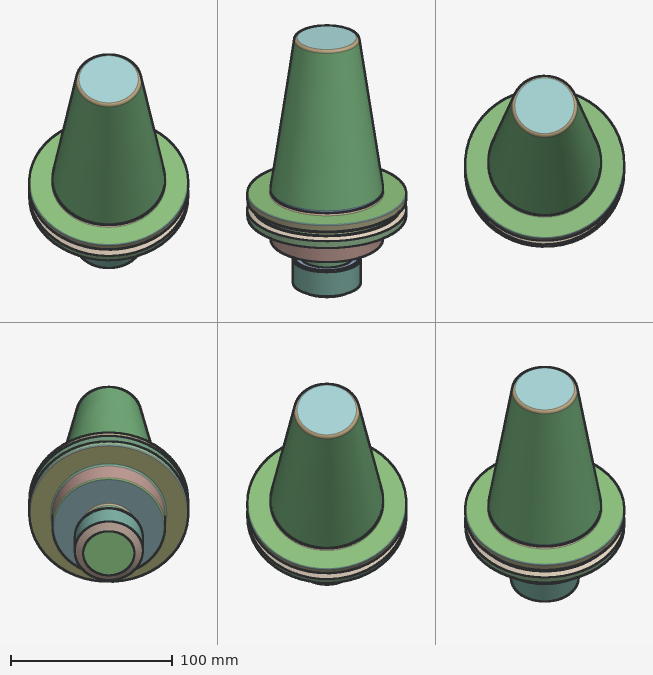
import cadquery as cq

total_height = 168.6
flange_radius = 98.5 / 2
flange_bottom = 47.9
flange_thickness = 15.8
flange_edge_fillet = 0.5
flange_top = flange_bottom + flange_thickness

groove_floor_radius = 91.2 / 2
groove_center = 56.0
groove_floor_width = 2.5
groove_mouth_width = 6.5
groove_root_fillet = 0.5
cutter_overrun = 1.7

gauge_radius = 34.9
gauge_line_height = 3.2
gauge_line = flange_top + gauge_line_height
taper_per_diameter = 7 / 24
tip_radius = gauge_radius - (total_height - gauge_line) * taper_per_diameter / 2
tip_fillet = 2.0

relief_depth = 0.5
relief_height = 1.5
relief_radius = gauge_radius - relief_depth
relief_top = flange_top + relief_height

collar_radius = gauge_radius
collar_bottom = 31.9
collar_edge_fillet = 0.8
root_fillet = 1.0

neck_radius = 16.0
head_radius = 21.0
head_height = 20.2
head_top_chamfer = 1.0
head_tip_radius = 15.8
head_cone_height = 3.0


def cylinder(radius, bottom, top):
    return cq.Workplane("XY").workplane(offset=bottom).circle(radius).extrude(top - bottom)


def revolve_profile(points):
    return cq.Workplane("XZ").polyline(points).close().revolve(360, (0, 0), (0, 1))


def root_blend(radius, face_height, direction):
    """Concave fillet ring between a cylinder and the flat face it meets."""
    outer = radius + root_fillet
    far_height = face_height + direction * root_fillet
    arc_offset = root_fillet * (1 - 0.5 ** 0.5)
    return (
        cq.Workplane("XZ")
        .moveTo(0, face_height)
        .lineTo(outer, face_height)
        .threePointArc(
            (radius + arc_offset, face_height + direction * arc_offset),
            (radius, far_height),
        )
        .lineTo(0, far_height)
        .close()
        .revolve(360, (0, 0), (0, 1))
    )


def make_flange():
    flange = cylinder(flange_radius, flange_bottom, flange_top).edges().fillet(flange_edge_fillet)
    floor_half = groove_floor_width / 2
    mouth_half = groove_mouth_width / 2
    cutter_radius = flange_radius + cutter_overrun
    groove = revolve_profile([
        (groove_floor_radius, groove_center - floor_half),
        (flange_radius, groove_center - mouth_half),
        (cutter_radius, groove_center - mouth_half),
        (cutter_radius, groove_center + mouth_half),
        (flange_radius, groove_center + mouth_half),
        (groove_floor_radius, groove_center + floor_half),
    ])
    floor_edges = cq.selectors.RadiusNthSelector(0)
    return flange.cut(groove.edges(floor_edges).fillet(groove_root_fillet))


def make_shank():
    shank = revolve_profile([
        (0, flange_top),
        (relief_radius, flange_top),
        (relief_radius, relief_top),
        (gauge_radius, relief_top),
        (gauge_radius, gauge_line),
        (tip_radius, total_height),
        (0, total_height),
    ])
    return shank.faces(">Z").edges().fillet(tip_fillet)


def make_collar():
    collar = cylinder(collar_radius, collar_bottom, flange_bottom)
    return collar.faces("<Z").edges().fillet(collar_edge_fillet)


def make_head():
    return revolve_profile([
        (0, 0),
        (head_tip_radius, 0),
        (head_radius, head_cone_height),
        (head_radius, head_height - head_top_chamfer),
        (head_radius - head_top_chamfer, head_height),
        (0, head_height),
    ])


result = (
    make_flange()
    .union(make_shank())
    .union(root_blend(relief_radius, flange_top, 1))
    .union(make_collar())
    .union(root_blend(collar_radius, flange_bottom, -1))
    .union(cylinder(neck_radius, head_height, collar_bottom))
    .union(root_blend(neck_radius, collar_bottom, -1))
    .union(make_head())
)